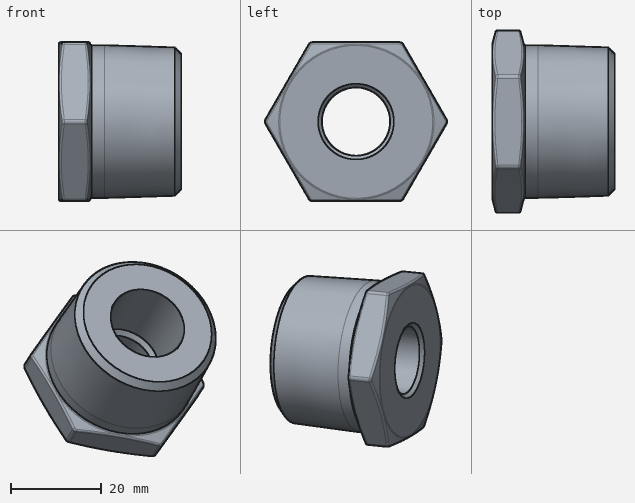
import cadquery as cq
import math


total_length = 27.0
head_length = 7.0
collar_end = 10.0

across_flats = 35.0
corner_radius = 1.0
bevel_angle = math.radians(15)
bevel_start_radius = 16.95
bevel_blend_radius = 1.0
head_edge_radius = 0.5

body_radius = 33.66 / 2
neck_fillet_radius = 0.35
taper_slope = 1 / 32
tip_chamfer = 1.5

bore_radius = 14.95 / 2
bore_mouth_radius = 16.66 / 2
back_bore_radius = 17.06 / 2
step_start = 8.25

bevel_slope = math.tan(bevel_angle)
neck_x = head_length + (bevel_start_radius - body_radius) * bevel_slope


def revolve_about_x(profile):
    """Turn a closed profile, drawn as X against radius, about the X axis."""
    return profile.close().revolve(360, (0, 0, 0), (1, 0, 0))


def make_bevel_envelope():
    """Disc bevelled on both ends that trims the hexagon's corners."""
    rim_radius = across_flats / math.sqrt(3)
    bevel_depth = (rim_radius - bevel_start_radius) * bevel_slope
    blend_reach = bevel_blend_radius * math.tan(bevel_angle / 2)
    blend_end = (
        blend_reach * math.sin(bevel_angle),
        bevel_start_radius + blend_reach * math.cos(bevel_angle),
    )
    profile = (
        cq.Workplane("XY")
        .lineTo(0, bevel_start_radius - blend_reach)
        .tangentArcPoint(blend_end, relative=False)
        .lineTo(bevel_depth, rim_radius)
        .lineTo(head_length - bevel_depth, rim_radius)
        .lineTo(neck_x, body_radius)
        .lineTo(neck_x, 0)
    )
    return revolve_about_x(profile)


def make_head():
    """Hexagon with flats facing +Z and -Z, rounded corners and bevelled, softened ends."""
    across_corners = 2 * across_flats / math.sqrt(3)
    prism = cq.Workplane("YZ").polygon(6, across_corners).extrude(neck_x)
    prism = prism.edges("|X").fillet(corner_radius)
    head = prism.intersect(make_bevel_envelope())
    bevel_edges = head.edges("not(|X)").edges("not %CIRCLE").edges("not %LINE")
    return bevel_edges.fillet(head_edge_radius)


def make_body():
    """Straight collar, tapered thread length and chamfered tip, rooted inside the head."""
    root_x = head_length / 2
    tip_start = total_length - tip_chamfer
    taper_end_radius = body_radius - (tip_start - collar_end) * taper_slope
    profile = cq.Workplane("XY").polyline([
        (root_x, 0),
        (root_x, body_radius),
        (collar_end, body_radius),
        (tip_start, taper_end_radius),
        (total_length, taper_end_radius - tip_chamfer),
        (total_length, 0),
    ])
    return revolve_about_x(profile)


def make_bore():
    """Through bore: conical mouth at the head, then a conical step to the wider back bore."""
    mouth_depth = bore_mouth_radius - bore_radius
    step_end = step_start + back_bore_radius - bore_radius
    profile = cq.Workplane("XY").polyline([
        (0, 0),
        (0, bore_mouth_radius),
        (mouth_depth, bore_radius),
        (step_start, bore_radius),
        (step_end, back_bore_radius),
        (total_length, back_bore_radius),
        (total_length, 0),
    ])
    return revolve_about_x(profile)


def fillet_neck(bush):
    """Fillet the circle where the rear bevel meets the body."""
    neck_edge = bush.edges("%CIRCLE").edges(cq.selectors.NearestToPointSelector((neck_x, 0, 0)))
    return neck_edge.fillet(neck_fillet_radius)


bush = fillet_neck(make_head().union(make_body()))
result = bush.cut(make_bore())